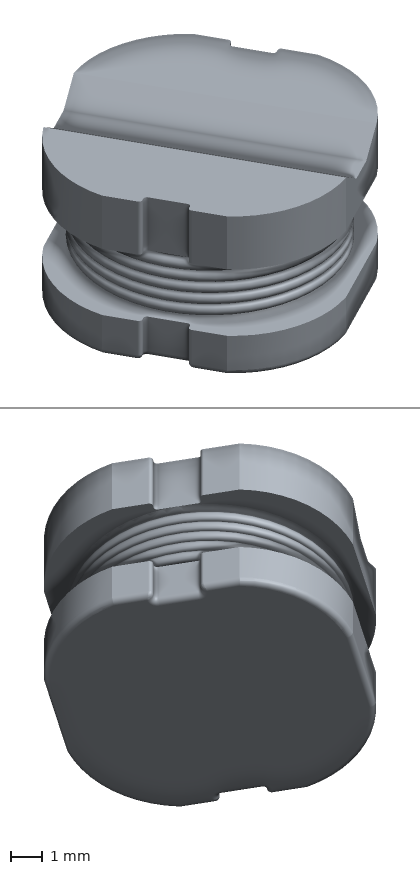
import cadquery as cq

length_x = 10.0
width_y = 9.8
height = 6.0
lower_flange_thickness = 1.5
upper_flange_thickness = 2.0
upper_flange_bottom = height - upper_flange_thickness

x_flat_half_length = 1.65
y_flat_half_length = 2.065
corner_radius = 4.0
block_length = 1.5 * length_x

notch_width = 1.54
notch_depth = 0.33
notch_corner_radius = 0.12

bottom_edge_radius = 0.2

groove_top_width = 2 * x_flat_half_length
groove_floor_width = 1.06
groove_depth = 0.73

ring_count = 5
wire_diameter = 0.4
wire_radius = wire_diameter / 2
ring_pitch = 0.42
winding_outer_radius = 4.56
ring_center_radius = winding_outer_radius - wire_radius
winding_middle = (lower_flange_thickness + upper_flange_bottom) / 2
first_ring_height = winding_middle - ring_pitch * (ring_count - 1) / 2

neck_radius = ring_center_radius - wire_radius
flare_height = first_ring_height - lower_flange_thickness
flare_radius = neck_radius + flare_height


def make_plate(bottom, thickness):
    """Plate with flat sides and bulging corners."""
    half_x = length_x / 2
    half_y = width_y / 2
    return (
        cq.Workplane("XY", origin=(0, 0, bottom))
        .moveTo(half_x, -x_flat_half_length)
        .lineTo(half_x, x_flat_half_length)
        .radiusArc((y_flat_half_length, half_y), -corner_radius)
        .lineTo(-y_flat_half_length, half_y)
        .radiusArc((-half_x, x_flat_half_length), -corner_radius)
        .lineTo(-half_x, -x_flat_half_length)
        .radiusArc((-y_flat_half_length, -half_y), -corner_radius)
        .lineTo(y_flat_half_length, -half_y)
        .radiusArc((half_x, -x_flat_half_length), -corner_radius)
        .close()
        .extrude(thickness)
    )


def make_notched_block(bottom, thickness):
    """Plain block as wide as a flange, with a rounded notch in each Y side."""
    block = (
        cq.Workplane("XY", origin=(0, 0, bottom))
        .rect(block_length, width_y)
        .extrude(thickness)
    )
    notches = (
        cq.Workplane("XY", origin=(0, 0, bottom))
        .pushPoints([(0, width_y / 2), (0, -width_y / 2)])
        .rect(notch_width, 2 * notch_depth)
        .extrude(thickness)
    )
    notch_edges = cq.selectors.BoxSelector(
        (-notch_width, -width_y, bottom),
        (notch_width, width_y, bottom + thickness),
    )
    return block.cut(notches).edges("|Z").edges(notch_edges).fillet(notch_corner_radius)


def round_bottom_edge(body):
    """Round every edge around the bottom face."""
    return body.faces("<Z").edges().fillet(bottom_edge_radius)


def make_lower_flange():
    """Notched flange whose bottom edge is rounded, also inside the notches."""
    plate = round_bottom_edge(make_plate(0, lower_flange_thickness))
    block = round_bottom_edge(make_notched_block(0, lower_flange_thickness))
    return plate.intersect(block)


def make_upper_flange():
    """Notched flange with the groove across its top."""
    plate = make_plate(upper_flange_bottom, upper_flange_thickness)
    block = make_notched_block(upper_flange_bottom, upper_flange_thickness)
    return plate.intersect(block).cut(make_groove())


def make_neck():
    """Turned neck with a concave flare at both ends."""
    return (
        cq.Workplane("XZ")
        .moveTo(0, lower_flange_thickness)
        .lineTo(flare_radius, lower_flange_thickness)
        .radiusArc((neck_radius, lower_flange_thickness + flare_height), flare_height)
        .lineTo(neck_radius, upper_flange_bottom - flare_height)
        .radiusArc((flare_radius, upper_flange_bottom), flare_height)
        .lineTo(0, upper_flange_bottom)
        .close()
        .revolve(360, (0, 0, 0), (0, 1, 0))
    )


def make_groove():
    """Cutter for the flared groove along the top face."""
    return (
        cq.Workplane("YZ")
        .moveTo(-groove_top_width / 2, height)
        .lineTo(-groove_floor_width / 2, height - groove_depth)
        .lineTo(groove_floor_width / 2, height - groove_depth)
        .lineTo(groove_top_width / 2, height)
        .close()
        .extrude(length_x / 2, both=True)
    )


def make_core():
    """Both flanges and the neck as one solid."""
    return make_lower_flange().union(make_neck()).union(make_upper_flange())


def make_ring(center_height):
    """One closed turn of round wire."""
    return (
        cq.Workplane("XZ")
        .center(ring_center_radius, center_height)
        .circle(wire_radius)
        .revolve(360, (-ring_center_radius, 0, 0), (-ring_center_radius, 1, 0))
    )


core = make_core()

rings = []
for index in range(ring_count):
    rings.append(make_ring(first_ring_height + index * ring_pitch).val())

result = cq.Compound.makeCompound([core.val(), *rings])